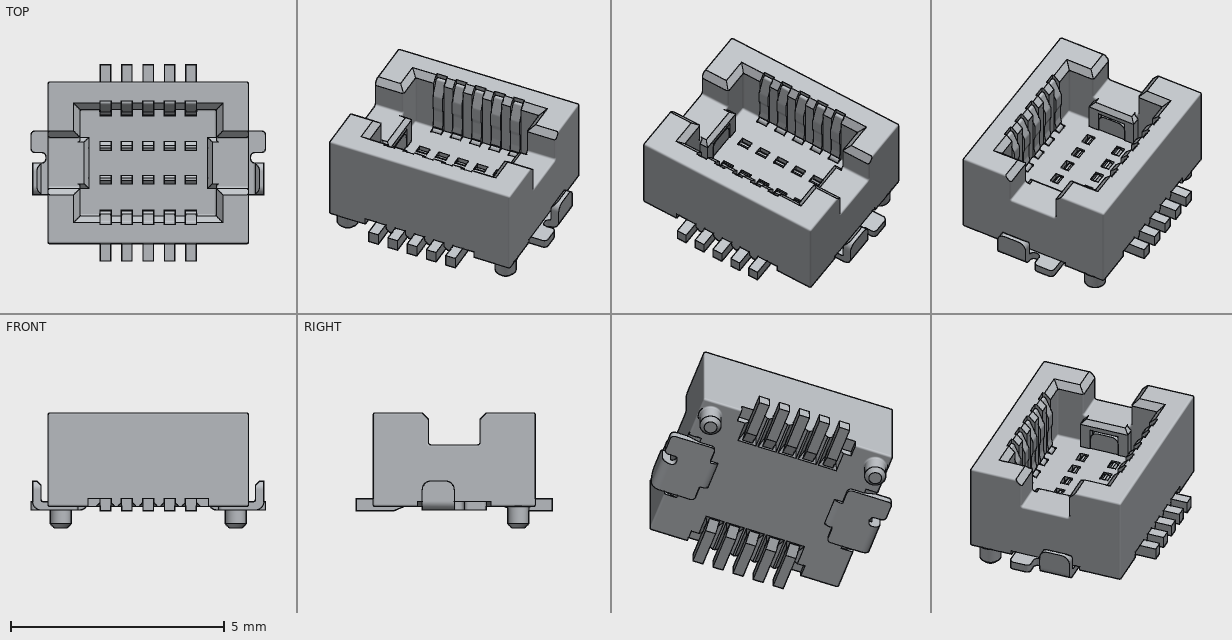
import cadquery as cq
HOUSING_X = 4.7
HOUSING_Y = 3.8
HOUSING_BOTTOM = 0.1
HOUSING_TOP = 2.3
EDGE_RADIUS = 0.05
LEAD_IN = 0.15
LEAD_IN_ANGLE = 45
SELECT_REACH = 0.01
CUT_MARGIN = 0.5

CAVITY_HALF_X = 1.6
CAVITY_HALF_Y = 1.25
CAVITY_FLOOR = 0.8
SQUARE_CORNER_HALF_X = 1.14
OPENING_HALF_Y = 0.6
OPENING_FLOOR = 1.55
BLOCK_FACE_X = 1.39
BLOCK_CHAMFER = 0.11
WINDOW_HALF_Y = 0.35
WINDOW_TOP = 1.33
WINDOW_DEPTH = 0.13

CONTACTS_PER_ROW = 5
PITCH = 0.5
CONTACT_WIDTH = 0.25
SLOT_WIDTH = 0.27
SLOT_BACK_Y = 1.446
SLOT_FRONT_Y = 1.1
SLOT_BOTTOM = 0.6
TIP_HOLE_INNER_Y = 0.295
TIP_HOLE_OUTER_Y = 0.5

ARM_CREST_Y = 1.195
ARM_WAIST_Y = 1.225
ARM_TOP_Y = 1.375
ARM_TOP = 2.19
ARM_TOP_RADIUS = 0.06
CREST_TOP = 1.79
CREST_BOTTOM = 1.47
WAIST_TOP = 1.36
WAIST_BOTTOM = 1.05
LOWER_CREST_TOP = 0.91
LOWER_CREST_BOTTOM = 0.88
ARM_FOOT = 0.83
ARM_KNEE_RADIUS = 0.15
BULGE_Y = 1.125
BULGE_CENTER_Y = 1.22
BULGE_CENTER_Z = 0.71

TIP_CROWN_INNER_Y = 0.35
TIP_CROWN_OUTER_Y = 0.41
TIP_CROWN = 0.77
TIP_INNER_TOP = 0.74
TIP_OUTER_TOP = 0.66

LEAD_END_Y = 2.3
LEAD_TOP = 0.29
LEAD_FOOT_Y = 1.42
LEAD_ROOT_Y = 1.1
LEAD_ROOT_BOTTOM = 0.13
LEAD_NOTCH_HALF_X = 1.415
LEAD_NOTCH_DEPTH = 0.3
FLARE = 0.09

CLIP_THICKNESS = 0.2
CLIP_BOTTOM = 0.02
CLIP_TOP = CLIP_BOTTOM + CLIP_THICKNESS
CLIP_HALF_Y = 0.75
CLIP_BEND_RADIUS = 0.2
CLIP_INNER_RADIUS = 0.05
CLIP_CORNER_RADIUS = 0.1
FOOT_END_X = 2.75
FOOT_INNER_Y = 0.24
RELIEF_X = 2.4
PLATE_INNER_X = 1.65
EAR_FACE_X = 2.71
EAR_TOP = 0.7
EAR_CORNER_RADIUS = 0.2
EAR_CHAMFER = 0.1
TONGUE_TOP = 1.26
TONGUE_CORNER_RADIUS = 0.18
TONGUE_SETBACK = 0.02
TONGUE_ROOT_RADIUS = 0.03
CLIP_RECESS_HALF_Y = 0.86
CLIP_RECESS_LENGTH = 0.3

PEG_DIAMETER = 0.5
PEG_X = 2.05
PEG_Y = 1.5
PEG_BOTTOM = -0.4
PEG_CHAMFER = 0.1
PEG_ROOT_FILLET = 0.04

contact_xs = [(i - (CONTACTS_PER_ROW - 1) / 2) * PITCH for i in range(CONTACTS_PER_ROW)]


def box(x0, x1, y0, y1, z0, z1):
    """Box between two opposite corners."""
    return cq.Workplane("XY").box(x1 - x0, y1 - y0, z1 - z0, centered=False).translate((x0, y0, z0))


def extrude_along_x(profile, x0, x1):
    """Extrude a closed sketch drawn in the YZ plane from x0 to x1."""
    return profile.extrude(x1 - x0).translate((x0, 0, 0))


def yz_polygon(points, x0, x1):
    """Prism from x0 to x1 over a polygon given by its (Y, Z) corners."""
    return extrude_along_x(cq.Workplane("YZ").polyline(points).close(), x0, x1)


def near(center):
    """Selector for the edges whose middle lies at the given point."""
    low = [c - SELECT_REACH for c in center]
    high = [c + SELECT_REACH for c in center]
    return cq.selectors.BoxSelector(low, high)


def both_ends(shape):
    """The shape together with its mirror image at the opposite X end."""
    return shape.union(shape.mirror("YZ"))


def both_rows(shape):
    """The shape together with its mirror image in the opposite contact row."""
    return shape.union(shape.mirror("XZ"))


def at_each_contact(shape):
    """Copies of a shape centred on X = 0 at every contact of both rows."""
    row = shape.translate((contact_xs[0], 0, 0))
    for x in contact_xs[1:]:
        row = row.union(shape.translate((x, 0, 0)))
    return both_rows(row)


def make_square_edge():
    """Strip that keeps the long bottom edge square where the leads come out."""
    outer_y = HOUSING_Y / 2
    return box(-LEAD_NOTCH_HALF_X, LEAD_NOTCH_HALF_X, outer_y - EDGE_RADIUS, outer_y,
               HOUSING_BOTTOM, HOUSING_BOTTOM + EDGE_RADIUS)


def make_shell():
    """Outer block with the opening across both ends and rounded outer edges."""
    length = HOUSING_X + 2 * CUT_MARGIN
    opening = box(-length / 2, length / 2, -OPENING_HALF_Y, OPENING_HALF_Y,
                  OPENING_FLOOR, HOUSING_TOP + CUT_MARGIN)
    opening = opening.edges("|X and <Z").fillet(EDGE_RADIUS)
    mouth = yz_polygon(
        [(-OPENING_HALF_Y, HOUSING_TOP - LEAD_IN), (OPENING_HALF_Y, HOUSING_TOP - LEAD_IN),
         (OPENING_HALF_Y + LEAD_IN, HOUSING_TOP), (-OPENING_HALF_Y - LEAD_IN, HOUSING_TOP)],
        -length / 2, length / 2)
    shell = box(-HOUSING_X / 2, HOUSING_X / 2, -HOUSING_Y / 2, HOUSING_Y / 2, HOUSING_BOTTOM, HOUSING_TOP)
    shell = shell.cut(opening).faces("<X or >X or <Y or >Y").edges().fillet(EDGE_RADIUS)
    return shell.cut(mouth).union(both_rows(make_square_edge()))


def make_end_block():
    """Block below the +X end opening, chamfered along its three free top edges."""
    block = box(BLOCK_FACE_X, CAVITY_HALF_X + CUT_MARGIN, -OPENING_HALF_Y, OPENING_HALF_Y,
                HOUSING_BOTTOM, OPENING_FLOOR)
    return block.faces(">Z").edges("<X or |X").chamfer(BLOCK_CHAMFER)


def cut_cavity(shell):
    """Mating cavity with its chamfered mouth, leaving the two end blocks."""
    cavity = box(-CAVITY_HALF_X, CAVITY_HALF_X, -CAVITY_HALF_Y, CAVITY_HALF_Y,
                 CAVITY_FLOOR, HOUSING_TOP + CUT_MARGIN)
    cavity = cavity.edges("|Z or <Z").fillet(EDGE_RADIUS).cut(both_ends(make_end_block()))
    mouth = (cq.Workplane("XY").workplane(offset=HOUSING_TOP)
             .rect(2 * (CAVITY_HALF_X + LEAD_IN), 2 * (CAVITY_HALF_Y + LEAD_IN))
             .extrude(-LEAD_IN, taper=LEAD_IN_ANGLE))
    square_corner = box(-SQUARE_CORNER_HALF_X, SQUARE_CORNER_HALF_X, -CAVITY_HALF_Y, CAVITY_HALF_Y,
                        CAVITY_FLOOR, CAVITY_FLOOR + EDGE_RADIUS)
    body = shell.cut(cavity).cut(square_corner).cut(mouth)
    jamb_middle = (OPENING_FLOOR + EDGE_RADIUS + HOUSING_TOP - LEAD_IN) / 2
    for x in (-CAVITY_HALF_X, CAVITY_HALF_X):
        for y in (-OPENING_HALF_Y, OPENING_HALF_Y):
            body = body.edges(near((x, y, jamb_middle))).fillet(EDGE_RADIUS)
    return body


def make_contact_slots():
    """Slot in the long wall for each contact arm, and floor hole for each contact tip."""
    slot = box(-SLOT_WIDTH / 2, SLOT_WIDTH / 2, SLOT_FRONT_Y, SLOT_BACK_Y,
               SLOT_BOTTOM, HOUSING_TOP + CUT_MARGIN)
    tip_hole = box(-SLOT_WIDTH / 2, SLOT_WIDTH / 2, TIP_HOLE_INNER_Y, TIP_HOLE_OUTER_Y,
                   SLOT_BOTTOM, CAVITY_FLOOR + EDGE_RADIUS)
    return at_each_contact(slot.union(tip_hole))


def make_contact_arm():
    """Arm against the slot wall: ramp, crest, waist and lower crest, with a bulge at the foot."""
    half = CONTACT_WIDTH / 2
    arm = yz_polygon(
        [(SLOT_BACK_Y, SLOT_BOTTOM), (SLOT_BACK_Y, ARM_TOP), (ARM_TOP_Y, ARM_TOP),
         (ARM_CREST_Y, CREST_TOP), (ARM_CREST_Y, CREST_BOTTOM),
         (ARM_WAIST_Y, WAIST_TOP), (ARM_WAIST_Y, WAIST_BOTTOM),
         (ARM_CREST_Y, LOWER_CREST_TOP), (ARM_CREST_Y, LOWER_CREST_BOTTOM),
         (BULGE_CENTER_Y, ARM_FOOT), (BULGE_CENTER_Y, SLOT_BOTTOM)],
        -half, half)
    for y, z, radius in [(ARM_TOP_Y, ARM_TOP, ARM_TOP_RADIUS),
                         (ARM_CREST_Y, CREST_TOP, ARM_KNEE_RADIUS),
                         (ARM_CREST_Y, CREST_BOTTOM, ARM_KNEE_RADIUS),
                         (ARM_WAIST_Y, WAIST_TOP, ARM_KNEE_RADIUS),
                         (ARM_WAIST_Y, WAIST_BOTTOM, ARM_KNEE_RADIUS)]:
        arm = arm.edges(near((0, y, z))).fillet(radius)
    bulge_depth = BULGE_CENTER_Y - BULGE_Y
    bulge_height = ARM_FOOT - BULGE_CENTER_Z
    bulge = (cq.Workplane("YZ")
             .moveTo(BULGE_Y, SLOT_BOTTOM)
             .lineTo(BULGE_Y, BULGE_CENTER_Z)
             .ellipseArc(bulge_depth, bulge_height, 90, 180, sense=-1, startAtCurrent=True)
             .lineTo(SLOT_BACK_Y, ARM_FOOT)
             .lineTo(SLOT_BACK_Y, SLOT_BOTTOM)
             .close())
    return arm.union(extrude_along_x(bulge, -half, half))


def make_contact_tip():
    """Inner end of the contact, crowned inside its floor hole."""
    return yz_polygon(
        [(TIP_HOLE_INNER_Y, SLOT_BOTTOM), (TIP_HOLE_INNER_Y, TIP_INNER_TOP),
         (TIP_CROWN_INNER_Y, TIP_CROWN), (TIP_CROWN_OUTER_Y, TIP_CROWN),
         (TIP_HOLE_OUTER_Y, TIP_OUTER_TOP), (TIP_HOLE_OUTER_Y, SLOT_BOTTOM)],
        -CONTACT_WIDTH / 2, CONTACT_WIDTH / 2)


def make_lead_notches():
    """Flared slot around each lead, and a notch beside the outermost leads of each row."""
    wall_y = HOUSING_Y / 2 - LEAD_NOTCH_DEPTH
    half = SLOT_WIDTH / 2
    notch = box(contact_xs[-1] + half, LEAD_NOTCH_HALF_X, wall_y, HOUSING_Y / 2 + CUT_MARGIN,
                HOUSING_BOTTOM - CUT_MARGIN, LEAD_TOP)
    flare_top = HOUSING_BOTTOM + FLARE
    outline = [(-half - FLARE, HOUSING_BOTTOM), (-half, flare_top), (-half, LEAD_TOP),
               (half, LEAD_TOP), (half, flare_top), (half + FLARE, HOUSING_BOTTOM)]
    slot = cq.Workplane("XZ").polyline(outline).close().extrude(-HOUSING_Y / 2)
    ramp = yz_polygon([(LEAD_ROOT_Y, HOUSING_BOTTOM), (HOUSING_Y / 2, HOUSING_BOTTOM),
                       (HOUSING_Y / 2, LEAD_TOP), (wall_y, LEAD_TOP)],
                      -half - FLARE, half + FLARE)
    return both_rows(both_ends(notch)).union(at_each_contact(slot.intersect(ramp)))


def make_leads():
    """Solder leads with a flat foot, rising into the housing at the root."""
    lead = yz_polygon(
        [(LEAD_END_Y, 0), (LEAD_END_Y, LEAD_TOP), (LEAD_ROOT_Y, LEAD_TOP),
         (LEAD_ROOT_Y, LEAD_ROOT_BOTTOM), (LEAD_FOOT_Y, 0)],
        -CONTACT_WIDTH / 2, CONTACT_WIDTH / 2)
    return at_each_contact(lead)


def make_clip_recess():
    """Wedge recess around the +X clip in the bottom edge of the end wall."""
    end_x = HOUSING_X / 2
    inner_x = end_x - CLIP_RECESS_LENGTH
    return (cq.Workplane("XZ")
            .polyline([(inner_x, HOUSING_BOTTOM), (end_x, HOUSING_BOTTOM), (end_x, CLIP_TOP)])
            .close().extrude(CLIP_RECESS_HALF_Y, both=True))


def rounded_sheet(x0, x1, y0, y1, top, corner_radius):
    """Upright leg of the clip with rounded top corners."""
    return box(x0, x1, y0, y1, CLIP_BOTTOM, top).edges("|X and >Z").fillet(corner_radius)


def make_clip_plate():
    """Flat base of the +X clip with the solder foot and the relief slot beside it."""
    base = box(PLATE_INNER_X, RELIEF_X + CLIP_CORNER_RADIUS, -CLIP_HALF_Y, CLIP_HALF_Y, CLIP_BOTTOM, CLIP_TOP)
    base = base.edges("|Z and <X").fillet(CLIP_CORNER_RADIUS)
    foot = box(RELIEF_X, FOOT_END_X, FOOT_INNER_Y, CLIP_HALF_Y, CLIP_BOTTOM, CLIP_TOP)
    foot = foot.edges("|Z and >X").fillet(CLIP_CORNER_RADIUS)
    relief = box(RELIEF_X, FOOT_END_X, 0, FOOT_INNER_Y, CLIP_BOTTOM, CLIP_TOP)
    relief = relief.edges("|Z and <X").fillet(CLIP_CORNER_RADIUS)
    return base.union(foot).cut(relief)


def make_clip_ear():
    """Upright ear bent up from the outer edge of the +X clip, chamfered on its inner top edge."""
    inner_x = EAR_FACE_X - CLIP_THICKNESS
    outline = (cq.Workplane("XZ")
               .moveTo(RELIEF_X, CLIP_BOTTOM)
               .lineTo(EAR_FACE_X - CLIP_BEND_RADIUS, CLIP_BOTTOM)
               .radiusArc((EAR_FACE_X, CLIP_BOTTOM + CLIP_BEND_RADIUS), -CLIP_BEND_RADIUS)
               .lineTo(EAR_FACE_X, EAR_TOP)
               .lineTo(inner_x + EAR_CHAMFER, EAR_TOP)
               .lineTo(inner_x, EAR_TOP - EAR_CHAMFER)
               .lineTo(inner_x, CLIP_TOP + CLIP_INNER_RADIUS)
               .radiusArc((inner_x - CLIP_INNER_RADIUS, CLIP_TOP), CLIP_INNER_RADIUS)
               .lineTo(RELIEF_X, CLIP_TOP)
               .close())
    return outline.extrude(CLIP_HALF_Y).intersect(
        rounded_sheet(RELIEF_X, EAR_FACE_X, -CLIP_HALF_Y, 0, EAR_TOP, EAR_CORNER_RADIUS))


def make_clip_tongue():
    """Tongue bent up from the inner edge of the +X clip, just behind the end block face."""
    face_x = BLOCK_FACE_X + TONGUE_SETBACK
    inner_x = face_x + CLIP_THICKNESS
    strip = box(face_x, PLATE_INNER_X + CLIP_CORNER_RADIUS, -WINDOW_HALF_Y, WINDOW_HALF_Y,
                CLIP_BOTTOM, CLIP_TOP)
    leg = rounded_sheet(face_x, inner_x, -WINDOW_HALF_Y, WINDOW_HALF_Y, TONGUE_TOP, TONGUE_CORNER_RADIUS)
    return strip.union(leg).edges(near((face_x, 0, CLIP_BOTTOM))).fillet(CLIP_BEND_RADIUS)


def make_tongue_window():
    """Pocket in the face of the +X end block around the clip tongue."""
    return box(BLOCK_FACE_X, BLOCK_FACE_X + WINDOW_DEPTH, -WINDOW_HALF_Y, WINDOW_HALF_Y,
               CAVITY_FLOOR, WINDOW_TOP)


def make_clip():
    """Complete sheet-metal hold-down at the +X end."""
    clip = make_clip_plate().union(make_clip_ear()).union(make_clip_tongue())
    for y in (-WINDOW_HALF_Y, WINDOW_HALF_Y):
        clip = clip.edges(near((PLATE_INNER_X, y, (CLIP_BOTTOM + CLIP_TOP) / 2))).fillet(TONGUE_ROOT_RADIUS)
    return clip


def make_peg():
    """Locating peg with a chamfered end and a fillet where it leaves the housing."""
    radius = PEG_DIAMETER / 2
    root_radius = radius + PEG_ROOT_FILLET
    peg_top = HOUSING_BOTTOM + EDGE_RADIUS
    half_section = (cq.Workplane("XZ")
                    .moveTo(0, PEG_BOTTOM)
                    .lineTo(radius - PEG_CHAMFER, PEG_BOTTOM)
                    .lineTo(radius, PEG_BOTTOM + PEG_CHAMFER)
                    .lineTo(radius, HOUSING_BOTTOM - PEG_ROOT_FILLET)
                    .radiusArc((root_radius, HOUSING_BOTTOM), PEG_ROOT_FILLET)
                    .lineTo(root_radius, peg_top)
                    .lineTo(0, peg_top)
                    .close())
    return half_section.revolve(360, (0, 0), (0, 1)).translate((PEG_X, PEG_Y, 0))


housing = cut_cavity(make_shell())
housing = housing.cut(make_contact_slots())
housing = housing.cut(make_lead_notches())
housing = housing.cut(both_ends(make_clip_recess()))
housing = housing.cut(both_ends(make_tongue_window()))
housing = housing.union(both_ends(make_peg()))

contacts = at_each_contact(make_contact_arm().union(make_contact_tip()))
result = housing.union(contacts).union(make_leads()).union(both_ends(make_clip()))